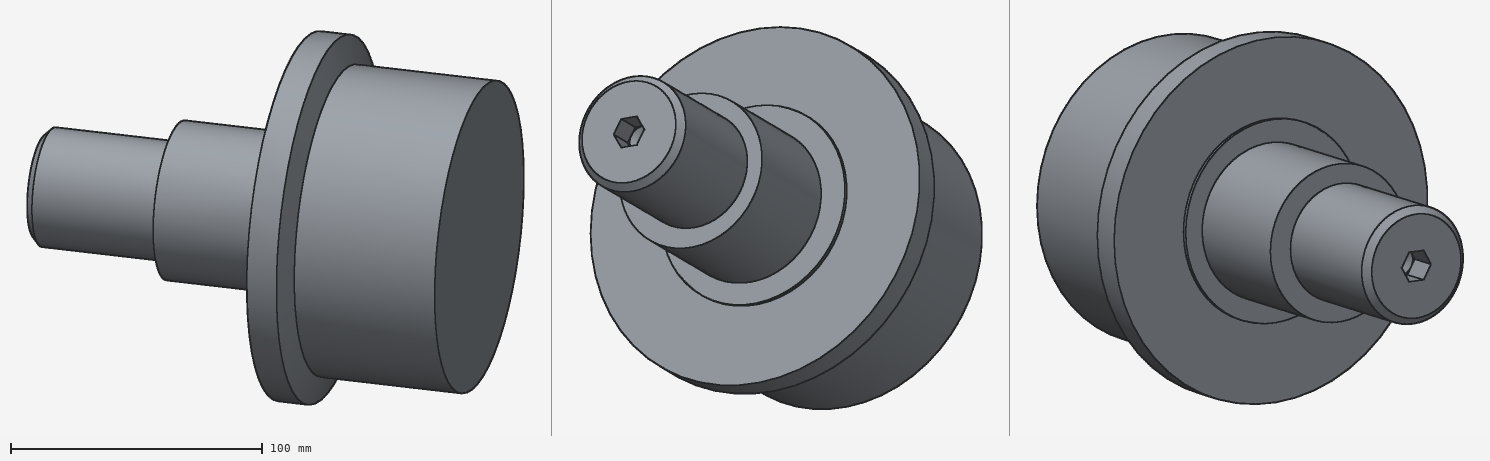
import cadquery as cq
import math

total_length = 181.0
shaft_end = 55.0
collar_end = 105.0
washer_end = 106.6
flange_end = 119.0
taper_end = 122.9

shaft_diameter = 48.0
collar_diameter = 64.0
washer_diameter = 82.5
flange_diameter = 148.0
roller_diameter = 125.0

shaft_chamfer = 2.9
collar_offset = 1.5

socket_across_flats = 12.0
socket_depth = 12.0
drill_point_angle = 120.0


def cylinder(start, end, diameter, y_offset=0.0):
    """Solid cylinder along X between two positions."""
    plane = cq.Workplane("YZ", origin=(start, y_offset, 0))
    return plane.circle(diameter / 2).extrude(end - start)


def make_shaft():
    return cylinder(0, shaft_end, shaft_diameter).faces("<X").chamfer(shaft_chamfer)


def make_flanged_roller():
    """Flange tapering down to the plain running surface."""
    profile = [
        (washer_end, 0),
        (washer_end, flange_diameter / 2),
        (flange_end, flange_diameter / 2),
        (taper_end, roller_diameter / 2),
        (total_length, roller_diameter / 2),
        (total_length, 0),
    ]
    return cq.Workplane("XY").polyline(profile).close().revolve(360, (0, 0, 0), (1, 0, 0))


def make_socket():
    """Hexagonal socket with corners on the Y axis and a conical bottom."""
    across_corners = socket_across_flats / math.cos(math.radians(30))
    hexagon = cq.Workplane("YZ").polygon(6, across_corners).extrude(socket_depth)
    point_radius = socket_across_flats / 2
    point_depth = point_radius / math.tan(math.radians(drill_point_angle / 2))
    point = cq.Solid.makeCone(
        point_radius, 0, point_depth, pnt=cq.Vector(socket_depth, 0, 0), dir=cq.Vector(1, 0, 0)
    )
    return hexagon.union(cq.Workplane(point))


collar = cylinder(shaft_end, collar_end, collar_diameter, collar_offset)
washer = cylinder(collar_end, washer_end, washer_diameter)

result = make_shaft().union(collar).union(washer).union(make_flanged_roller()).cut(make_socket())